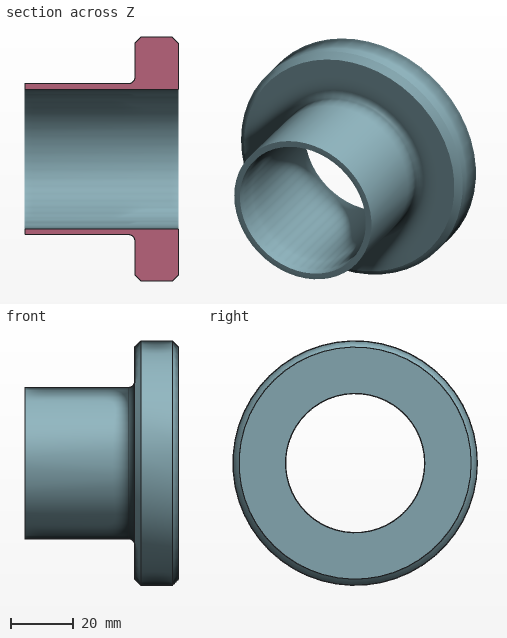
import cadquery as cq

total_length = 49.0
flange_diameter = 78.0
flange_thickness = 14.0
flange_chamfer = 2.0
tube_outer_diameter = 48.3
wall_thickness = 2.0
root_fillet = 2.0

bore_diameter = tube_outer_diameter - 2 * wall_thickness
tube_length = total_length - flange_thickness


def cylinder_along_x(diameter, start_x, length):
    """Solid cylinder on the X axis, growing toward +X from start_x."""
    return cq.Workplane("YZ", origin=(start_x, 0, 0)).circle(diameter / 2).extrude(length)


flange = cylinder_along_x(flange_diameter, tube_length, flange_thickness)
flange = flange.faces("<X or >X").edges().chamfer(flange_chamfer)

tube = cylinder_along_x(tube_outer_diameter, 0, tube_length)
body = tube.union(flange)
flange_face_center = (tube_length, 0, 0)
root_edge = cq.selectors.RadiusNthSelector(0)
body = body.faces(cq.selectors.NearestToPointSelector(flange_face_center)).edges(root_edge).fillet(root_fillet)

result = body.cut(cylinder_along_x(bore_diameter, 0, total_length))